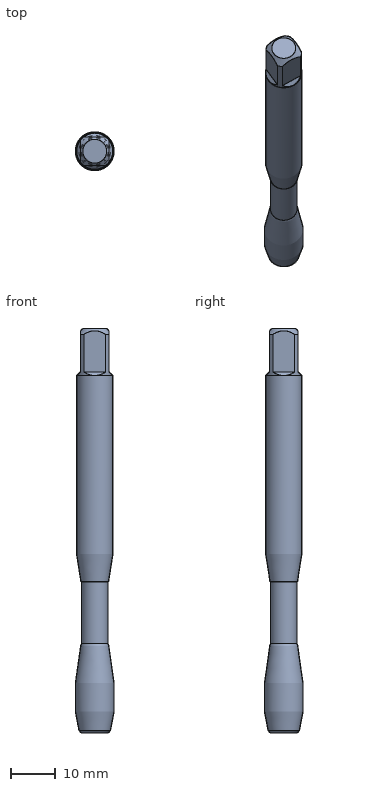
import cadquery as cq

total_length = 90.2

head_diameter = 8.7
head_tip_diameter = 7.0
head_root_diameter = 6.3
lead_top = 4.8
land_top = 11.1
head_top = 19.9

neck_diameter = 5.95
neck_top = 33.6
shank_diameter = 8.1
shank_root_diameter = 6.2
shank_taper_top = 39.9
edge_height = 0.5
shank_bevel_height = 0.2

square_width = 6.4
square_corner_diameter = 8.0
shank_top = 79.65
drive_bevel = 1.35


def turned(profile):
    """Revolve (radius, height) points and the Z axis into a solid."""
    bottom = profile[0][1]
    top = profile[-1][1]
    outline = [(0, bottom), *profile, (0, top)]
    return cq.Workplane("XZ").polyline(outline).close().revolve(360, (0, 0), (0, 1))


def make_head():
    """Barrel-shaped head: lead taper, cylindrical land and back taper."""
    return turned([
        (neck_diameter / 2, 0),
        (head_tip_diameter / 2, edge_height),
        (head_diameter / 2, lead_top),
        (head_diameter / 2, land_top),
        (head_root_diameter / 2, head_top - edge_height),
        (neck_diameter / 2, head_top),
    ])


def make_square_limits():
    """Square prism that flares outwards at 45 degrees down to the full shank."""
    flare_height = (shank_diameter - square_width) / 2
    flare = (
        cq.Workplane("XY", origin=(0, 0, shank_top))
        .rect(shank_diameter, shank_diameter)
        .workplane(offset=flare_height)
        .rect(square_width, square_width)
        .loft(ruled=True)
    )
    prism = (
        cq.Workplane("XY", origin=(0, 0, shank_top + flare_height))
        .rect(square_width, square_width)
        .extrude(total_length - shank_top - flare_height)
    )
    return flare.union(prism)


def make_drive():
    """Square drive with round corners and a conical bevel around its top."""
    corner_radius = square_corner_diameter / 2
    round_bar = turned([
        (corner_radius, shank_top),
        (corner_radius, total_length - drive_bevel),
        (corner_radius - drive_bevel, total_length),
    ])
    return round_bar.intersect(make_square_limits())


def make_shank():
    """Neck, tapered shank and square drive in one piece."""
    bar = turned([
        (neck_diameter / 2, head_top),
        (neck_diameter / 2, neck_top),
        (shank_root_diameter / 2, neck_top + shank_bevel_height),
        (shank_diameter / 2, shank_taper_top),
        (shank_diameter / 2, shank_top),
    ])
    return bar.union(make_drive())


head = make_head()
shank = make_shank()

result = cq.Compound.makeCompound([head.val(), shank.val()])